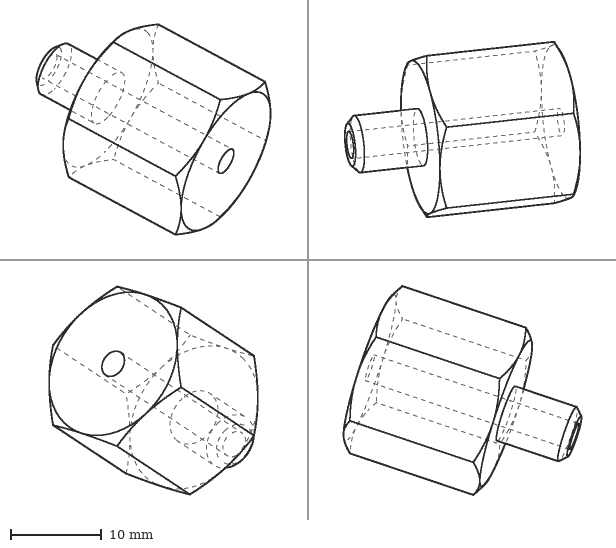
import cadquery as cq
import math

across_flats = 17.0
hex_length = 16.0
spigot_length = 8.0
spigot_diameter = 6.35
spigot_chamfer = 0.8
bore_diameter = 3.0
corner_chamfer_angle = 30.0
side_count = 6

across_corners = across_flats / math.cos(math.pi / side_count)
flat_radius = across_flats / 2
corner_radius = across_corners / 2
corner_chamfer_depth = (corner_radius - flat_radius) * math.tan(math.radians(corner_chamfer_angle))
total_length = spigot_length + hex_length


def cylinder_along_x(diameter, start_x, length):
    return cq.Workplane("YZ", origin=(start_x, 0, 0)).circle(diameter / 2).extrude(length)


def chamfer_envelope():
    """Round blank with coned ends that trims the hexagon corners."""
    profile = [
        (0, 0),
        (0, flat_radius),
        (corner_chamfer_depth, corner_radius),
        (hex_length - corner_chamfer_depth, corner_radius),
        (hex_length, flat_radius),
        (hex_length, 0),
    ]
    return cq.Workplane("XZ").polyline(profile).close().revolve(360, (0, 0, 0), (1, 0, 0))


def hex_body():
    """Chamfered hexagon with flats facing +Y and -Y and corners pointing along Z."""
    corner_points = []
    for index in range(side_count):
        angle_from_z = 2 * math.pi * index / side_count
        corner_points.append((corner_radius * math.sin(angle_from_z), corner_radius * math.cos(angle_from_z)))
    prism = cq.Workplane("YZ").polyline(corner_points).close().extrude(hex_length)
    return prism.intersect(chamfer_envelope())


def spigot():
    """Round stub on the -X side with a chamfered tip."""
    stub = cylinder_along_x(spigot_diameter, -spigot_length, spigot_length)
    return stub.faces("<X").chamfer(spigot_chamfer)


through_bore = cylinder_along_x(bore_diameter, -spigot_length, total_length)

result = hex_body().union(spigot()).cut(through_bore)